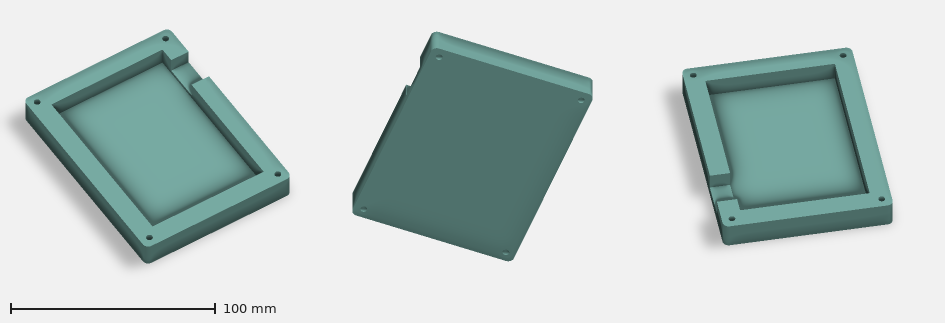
import cadquery as cq

length = 111.7
width = 84.5
height = 13.0
corner_radius = 3.0

rim = 10.0
pocket_depth = 9.9

hole_diameter = 3.4
hole_inset = rim / 2

notch_width = 18.4
notch_offset = 18.0
notch_depth = 8.0


def make_block():
    block = cq.Workplane("XY").box(length, width, height, centered=(True, True, False))
    return block.edges("|Z").fillet(corner_radius)


def cut_pocket(body):
    return body.faces(">Z").workplane(origin=(0, 0, height)).rect(
        length - 2 * rim, width - 2 * rim
    ).cutBlind(-pocket_depth)


def cut_notch(body):
    notch = cq.Workplane("XY").box(notch_width, rim, notch_depth, centered=False)
    return body.cut(
        notch.translate((notch_offset - length / 2, width / 2 - rim, height - notch_depth))
    )


def drill_corner_holes(body):
    holes = (
        cq.Workplane("XY")
        .rect(length - 2 * hole_inset, width - 2 * hole_inset, forConstruction=True)
        .vertices()
        .circle(hole_diameter / 2)
        .extrude(height)
    )
    return body.cut(holes)


result = drill_corner_holes(cut_notch(cut_pocket(make_block())))